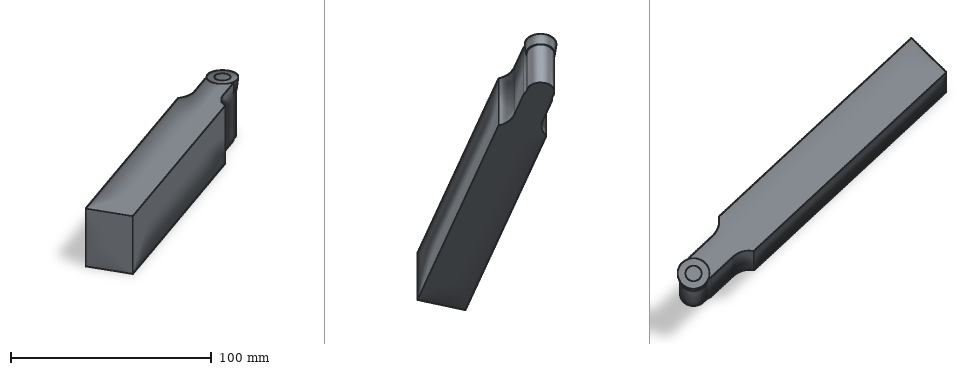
import cadquery as cq
import math

total_length = 171.5
shank_width = 25.0
height = 32.0
neck_width = 15.0
nose_radius = 6.9
nose_straight = 2.0
neck_front_setback = 4.6
neck_rear_y = 143.3
shank_front_y = 133.7

insert_diameter = 16.0
insert_thickness = 6.3
clearance_angle = 7.0
stud_diameter = 8.0

insert_radius = insert_diameter / 2
nose_y = total_length - insert_radius
insert_bottom_z = height - insert_thickness


def flare_middle():
    """Midpoint of the concave arc that leaves the neck tangentially and meets the shank."""
    rise = (shank_width - neck_width) / 2
    run = neck_rear_y - shank_front_y
    radius = (rise**2 + run**2) / (2 * rise)
    half_angle = math.asin(run / radius) / 2
    x = neck_width / 2 + radius * (1 - math.cos(half_angle))
    y = neck_rear_y - radius * math.sin(half_angle)
    return x, y


def make_insert_blank():
    """Tapered disc without its centre hole."""
    bottom_radius = insert_radius - insert_thickness * math.tan(math.radians(clearance_angle))
    return (
        cq.Workplane("XZ")
        .polyline([
            (0, insert_bottom_z),
            (bottom_radius, insert_bottom_z),
            (insert_radius, height),
            (0, height),
        ])
        .close()
        .revolve(360, (0, 0, 0), (0, 1, 0))
        .translate((0, nose_y, 0))
    )


def make_insert():
    """Insert with a through hole that fits the holder stud."""
    hole = (
        cq.Workplane("XY", origin=(0, nose_y, insert_bottom_z))
        .circle(stud_diameter / 2)
        .extrude(insert_thickness)
    )
    return make_insert_blank().cut(hole)


def make_holder(insert):
    """Holder with a seat around the insert, leaving a stud in the insert's hole."""
    half_shank = shank_width / 2
    half_neck = neck_width / 2
    flare_x, flare_y = flare_middle()
    nose_side_y = nose_y - nose_straight
    neck_front_y = nose_y - neck_front_setback
    body = (
        cq.Workplane("XY")
        .moveTo(-half_shank, 0)
        .lineTo(half_shank, 0)
        .lineTo(half_shank, shank_front_y)
        .threePointArc((flare_x, flare_y), (half_neck, neck_rear_y))
        .lineTo(half_neck, neck_front_y)
        .lineTo(nose_radius, nose_side_y)
        .lineTo(nose_radius, nose_y)
        .threePointArc((0, nose_y + nose_radius), (-nose_radius, nose_y))
        .lineTo(-nose_radius, nose_side_y)
        .lineTo(-half_neck, neck_front_y)
        .lineTo(-half_neck, neck_rear_y)
        .threePointArc((-flare_x, flare_y), (-half_shank, shank_front_y))
        .close()
        .extrude(height)
    )
    return body.cut(insert)


insert = make_insert()
holder = make_holder(insert)

result = cq.Compound.makeCompound([holder.val(), insert.val()])